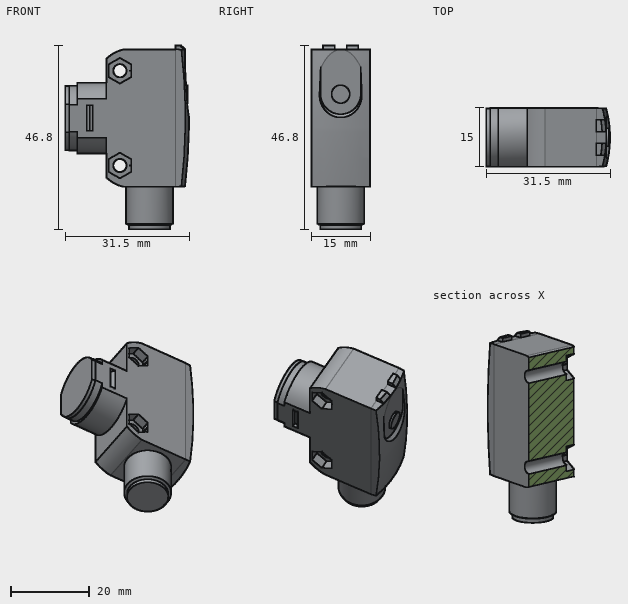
import cadquery as cq
import math


width = 15.0
height = 35.0
mid_z = height / 2
body_back = 10.45
body_front = 28.0
corner_length = 4.4
corner_drop = 2.4
corner_radius = 9.0

dome_apex = 31.5
dome_rise = 1.0
cover_draft = 3.0
dome_margin = 1.5

nose_diameter = 18.0
collar_diameter = 16.5
lid_diameter = 16.4
lid_width = 14.8
lid_thickness = 1.0
collar_end = 3.0

barrel_x = 21.4
barrel_radius = 6.0
barrel_tip_radius = 5.25
barrel_length = 9.3
barrel_cone_length = 0.4
barrel_total = 10.8

hole_x = 13.9
hole_spacing = 24.1
hole_diameter = 3.3
nut_flats = 5.65
nut_depth = 2.5
rib_projection = 0.3
rib_thickness = 0.1

notch_back = 5.5
notch_front = 7.0
notch_floor_front = 6.2
notch_height = 6.5
notch_depth = 1.0

recess_floor = 30.5
recess_radius = 5.1
recess_draft = 40.0
button_z = 23.6
button_radius = 2.3
button_front = 31.1

tab_offset = 3.0
tab_width = 3.0
tab_height = 1.0
tab_slope = 1.0


def arc_radius(half_chord, rise):
    """Radius of the arc that rises by `rise` over a chord of 2 * half_chord."""
    return (half_chord**2 + rise**2) / (2 * rise)


dome_radius_y = arc_radius(width / 2, dome_rise)
dome_radius_z = arc_radius(height / 2, dome_rise)
dome_end = dome_apex - dome_rise


def make_body():
    corner_start = body_back + corner_length
    return (
        cq.Workplane("XZ", origin=(0, width / 2, 0))
        .moveTo(body_front, 0)
        .lineTo(body_front, height)
        .lineTo(corner_start, height)
        .radiusArc((body_back, height - corner_drop), -corner_radius)
        .lineTo(body_back, corner_drop)
        .radiusArc((corner_start, 0), -corner_radius)
        .close()
        .extrude(width)
    )


def make_dome():
    """Large barrel-shaped solid whose outer skin is the front of the cover."""
    half = width / 2 + dome_margin
    edge_x = dome_apex - dome_radius_y + math.sqrt(dome_radius_y**2 - half**2)
    axis_x = dome_apex - dome_radius_z
    return (
        cq.Workplane("XY", origin=(axis_x, 0, mid_z))
        .moveTo(0, -half)
        .lineTo(edge_x - axis_x, -half)
        .threePointArc((dome_radius_z, 0), (edge_x - axis_x, half))
        .lineTo(0, half)
        .close()
        .revolve(360, (0, 0, 0), (0, 1, 0))
    )


def make_cover():
    block = (
        cq.Workplane("YZ", origin=(body_front, 0, mid_z))
        .rect(width, height)
        .extrude(dome_apex + dome_margin - body_front, taper=cover_draft)
    )
    return block.intersect(make_dome())


def flattened_disc(diameter, flat_width, start, end):
    """Disc along X, cut off flat on both Y sides."""
    centre = (start, 0, mid_z)
    disc = cq.Workplane("YZ", origin=centre).circle(diameter / 2).extrude(end - start)
    slab = cq.Workplane("YZ", origin=centre).rect(flat_width, diameter).extrude(end - start)
    return disc.intersect(slab)


def make_nose():
    lid = flattened_disc(lid_diameter, lid_width, 0, lid_thickness)
    collar = flattened_disc(collar_diameter, width, lid_thickness, collar_end)
    neck = flattened_disc(nose_diameter, width, collar_end, body_back)
    return lid.union(collar).union(neck)


def make_barrel():
    return (
        cq.Workplane("XZ", origin=(barrel_x, 0, 0))
        .lineTo(barrel_radius, 0)
        .lineTo(barrel_radius, -barrel_length)
        .lineTo(barrel_tip_radius, -barrel_length - barrel_cone_length)
        .lineTo(barrel_tip_radius, -barrel_total)
        .lineTo(0, -barrel_total)
        .close()
        .revolve(360, (0, 0, 0), (0, 1, 0))
    )


def make_tabs():
    rim = (
        cq.Workplane("XZ", origin=(dome_end - dome_radius_y, 0, 0))
        .moveTo(0, height - tab_height)
        .lineTo(dome_radius_y, height - tab_height)
        .lineTo(dome_radius_y, height)
        .lineTo(dome_radius_y - tab_slope, height + tab_height)
        .lineTo(0, height + tab_height)
        .close()
        .revolve(360, (0, 0, 0), (0, 1, 0))
    )
    blocks = (
        cq.Workplane("XY", origin=(body_front, 0, height - tab_height))
        .pushPoints([(0, -tab_offset), (0, tab_offset)])
        .box(dome_apex - body_front, tab_width, 2 * tab_height, centered=(False, True, False))
    )
    return blocks.intersect(rim)


def make_nut_rib():
    """Thin rib on the front wall of a nut pocket, fading out towards the opening."""
    wall_x = nut_flats / 2
    return (
        cq.Workplane("XY", origin=(hole_x, -width / 2, mid_z - rib_thickness / 2))
        .moveTo(wall_x, 0)
        .lineTo(wall_x, nut_depth)
        .lineTo(wall_x - rib_projection, nut_depth)
        .close()
        .extrude(rib_thickness)
    )


def make_mounting_cut():
    """Through hole with its nut pocket, at mid height."""
    hole_plane = cq.Workplane("XZ", origin=(hole_x, -width / 2, mid_z))
    hole = hole_plane.circle(hole_diameter / 2).extrude(-width)
    pocket = (
        hole_plane
        .transformed(rotate=(0, 0, 30))
        .polygon(6, nut_flats / math.cos(math.pi / 6))
        .extrude(-nut_depth)
    )
    return hole.union(pocket.cut(make_nut_rib()))


def make_notch():
    side = -width / 2
    return (
        cq.Workplane("XY", origin=(0, 0, mid_z - notch_height / 2))
        .moveTo(notch_back, side)
        .lineTo(notch_front, side)
        .lineTo(notch_floor_front, side + notch_depth)
        .lineTo(notch_back, side + notch_depth)
        .close()
        .extrude(notch_height)
    )


def make_recess():
    """Flared upright slot in the cover, round at the bottom and open at the top."""
    return (
        cq.Workplane("YZ", origin=(recess_floor, 0, button_z))
        .moveTo(-recess_radius, 0)
        .threePointArc((0, -recess_radius), (recess_radius, 0))
        .lineTo(recess_radius, height - button_z + recess_radius)
        .lineTo(-recess_radius, height - button_z + recess_radius)
        .close()
        .extrude(dome_apex - recess_floor, taper=-recess_draft)
    )


def make_button():
    return (
        cq.Workplane("YZ", origin=(body_front, 0, button_z))
        .circle(button_radius)
        .extrude(button_front - body_front)
    )


result = (
    make_body()
    .union(make_cover().cut(make_recess()))
    .union(make_button())
    .union(make_tabs())
    .union(make_nose())
    .union(make_barrel())
    .cut(make_notch())
)
for offset in (-hole_spacing / 2, hole_spacing / 2):
    result = result.cut(make_mounting_cut().translate((0, 0, offset)))